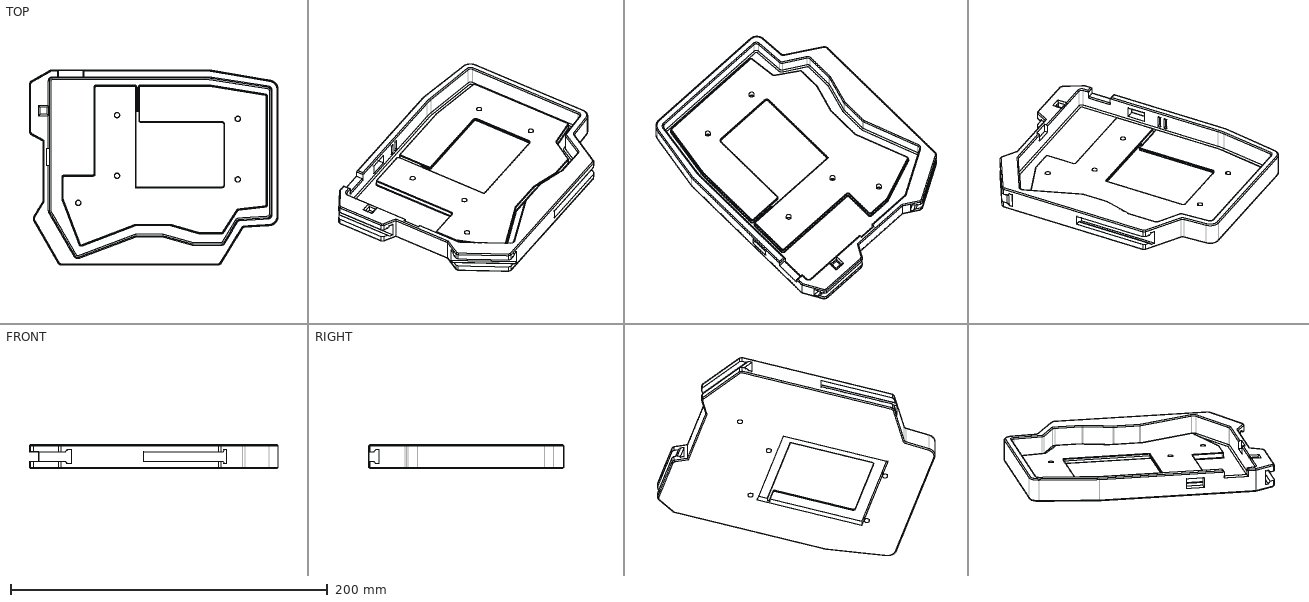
import cadquery as cq
import math

LENGTH = 157.19
WIDTH = 123.32
HEIGHT = 15.0

FLOOR_TOP = 2.0
RIM_CHAMFER = 0.75
FOOT_CHAMFER = 1.0
OUTER_CORNER_RADIUS = 6.0
WAIST_CORNER = (135.1, 24.0)
WAIST_RADIUS = 2.0
JAW_CORNER_CHAMFER = 1.0
CAVITY_CORNER_RADIUS = 2.0
CAVITY_BEND_RADIUS = 28.0
CAVITY_BACK = 118.3
CAVITY_LEFT = 12.7
CAVITY_RIGHT = 152.6
CAVITY_BEND = (113.2, CAVITY_BACK)

PLATFORM_TOP = 5.5
PLATFORM_CHAMFER = 0.6
PLATFORM_FOOT = 0.4
PLATFORM_CORNER_RADIUS = 1.0
PLATFORM_BACK = 113.4
CHANNEL_LEFT = 67.5
CHANNEL_RIGHT = 69.2
WINDOW_RIGHT = 123.0
WINDOW_FRONT = 49.3
WINDOW_BACK = 90.3
WINDOW_RADIUS = 1.5

PLATE_THICKNESS = 1.5
RECESS_MARGIN = 6.9

HOLE_DIAMETER = 3.2
PATTERN_CORNER = (55.4, 56.5)
PATTERN_LENGTH = 76.3
PATTERN_WIDTH = 38.3
RIGHT_COLUMN_DROP = 2.3
SINGLE_HOLE = (30.9, 39.4)

NECK_WIDTH = 6.0
HEAD_WIDTH = 9.0
NECK_DEPTH = 3.3
SLOT_DEPTH = 6.6
FLARE_DEPTH = NECK_DEPTH + 1.3
SLOT_OVERRUN = 10.0
FRONT_SLOT_START = (72.2, 0)

NOTCH_LEFT = 18.5
NOTCH_RIGHT = 33.9
NOTCH_FLOOR = 10.4
CABLE_WINDOW_LEFT = 46.8
CABLE_WINDOW_LENGTH = 11.5
CABLE_WINDOW_BOTTOM = 4.9
CABLE_WINDOW_TOP = 11.3
SLIT_LEFT_SIDES = (68.0, 72.4)
SLIT_LENGTH = 1.8
SLIT_DEPTH = 2.0
SLIT_BOTTOM = 4.2
SLIT_TOP = 11.4

POCKET_CENTER = (9.0, 97.6)
POCKET_SIZE = 4.4
POCKET_CHAMFER = 1.1
POCKET_DEPTH = 4.2
LATCH_LEFT = 10.7
LATCH_FRONT = 63.0
LATCH_BACK = 73.7
LATCH_FLOOR = 9.5

CLEAR = 1.0

LEFT_JAW_BACK = (0, 115.6)
LEFT_JAW_FRONT = (0, 83.1)
OBLIQUE_JAW_BACK = (2.0, 29.4)
OBLIQUE_JAW_FRONT = (18.9, 0)
FRONT_JAW_END = (120.4, 0)
JAW_CORNERS = [LEFT_JAW_BACK, LEFT_JAW_FRONT, OBLIQUE_JAW_BACK, OBLIQUE_JAW_FRONT, FRONT_JAW_END]
LEFT_STEP = 8.5

OUTLINE = [
    LEFT_JAW_BACK,
    (13.5, WIDTH),
    (114.3, WIDTH),
    (LENGTH, 116.0),
    (LENGTH, 25.3),
    WAIST_CORNER,
    FRONT_JAW_END,
    OBLIQUE_JAW_FRONT,
    OBLIQUE_JAW_BACK,
    (LEFT_STEP, 40.2),
    (LEFT_STEP, 78.5),
    LEFT_JAW_FRONT,
]
CAVITY = [
    (CAVITY_LEFT, CAVITY_BACK),
    CAVITY_BEND,
    (CAVITY_RIGHT, 112.2),
    (CAVITY_RIGHT, 30.1),
    (131.5, 28.8),
    (122.3, 13.3),
    (103.3, 13.3),
    (84.4, 18.6),
    (67.2, 18.6),
    (29.7, 4.5),
    (CAVITY_LEFT, 33.9),
]
PLATFORM = [
    (41.2, PLATFORM_BACK),
    (114.2, PLATFORM_BACK),
    (150.0, 107.6),
    (150.0, 37.2),
    (131.6, 35.1),
    (122.0, 20.2),
    (107.3, 20.2),
    (89.2, 25.4),
    (67.0, 25.4),
    (32.2, 12.1),
    (21.0, 41.6),
    (21.0, 56.6),
    (41.2, 56.6),
]


def prism(points, bottom, top):
    return cq.Workplane("XY").workplane(offset=bottom).polyline(points).close().extrude(top - bottom)


def box(x_range, y_range, z_range):
    sizes = [high - low for low, high in (x_range, y_range, z_range)]
    corner = (x_range[0], y_range[0], z_range[0])
    return cq.Workplane("XY").box(*sizes, centered=False).translate(corner)


def upright_edges(solid, corners, near=True):
    """Vertical edges standing at the given XY corners, or all the others."""

    def stands_at_corner(edge):
        center = edge.Center()
        return any(math.hypot(center.x - x, center.y - y) < CLEAR / 2 for x, y in corners)

    return solid.edges("|Z").filter(lambda edge: stands_at_corner(edge) == near)


def make_shell():
    body = prism(OUTLINE, 0, HEIGHT)
    body = body.edges("|Z and >X").fillet(OUTER_CORNER_RADIUS)
    body = upright_edges(body, [WAIST_CORNER]).fillet(WAIST_RADIUS)
    body = upright_edges(body, JAW_CORNERS).chamfer(JAW_CORNER_CHAMFER)

    cavity = prism(CAVITY, FLOOR_TOP, HEIGHT)
    cavity = upright_edges(cavity, [CAVITY_BEND], near=False).fillet(CAVITY_CORNER_RADIUS)
    cavity = upright_edges(cavity, [CAVITY_BEND]).fillet(CAVITY_BEND_RADIUS)
    cavity = cavity.faces("<Z").chamfer(FOOT_CHAMFER)
    return body.cut(cavity).faces("<Z or >Z").chamfer(RIM_CHAMFER)


def make_window(bottom, top):
    window = box((CHANNEL_LEFT, WINDOW_RIGHT), (WINDOW_FRONT, WINDOW_BACK), (bottom, top))
    return window.edges("|Z and >X").fillet(WINDOW_RADIUS)


def make_platform():
    platform = prism(PLATFORM, 0, PLATFORM_TOP)
    channel = box((CHANNEL_LEFT, CHANNEL_RIGHT), (WINDOW_BACK - CLEAR, WIDTH), (0, HEIGHT))
    platform = platform.cut(channel).cut(make_window(0, HEIGHT))
    outer_corners = PLATFORM + [
        (CHANNEL_LEFT, PLATFORM_BACK),
        (CHANNEL_RIGHT, PLATFORM_BACK),
        (CHANNEL_RIGHT, WINDOW_BACK),
    ]
    platform = upright_edges(platform, outer_corners).fillet(PLATFORM_CORNER_RADIUS)
    foot = platform.faces("<Z").wires().toPending().offset2D(PLATFORM_FOOT)
    foot = foot.extrude(FLOOR_TOP + PLATFORM_FOOT).faces(">Z").chamfer(PLATFORM_FOOT)
    return platform.faces(">Z").chamfer(PLATFORM_CHAMFER).union(foot)


def make_underside_recess():
    return box(
        (CHANNEL_LEFT - RECESS_MARGIN, WINDOW_RIGHT + RECESS_MARGIN),
        (WINDOW_FRONT - RECESS_MARGIN, WINDOW_BACK + RECESS_MARGIN),
        (-CLEAR, PLATFORM_TOP - PLATE_THICKNESS),
    )


def make_screw_holes():
    left, front = PATTERN_CORNER
    centers = [SINGLE_HOLE]
    for row in range(2):
        y = front + row * PATTERN_WIDTH
        centers.append((left, y))
        centers.append((left + PATTERN_LENGTH, y - RIGHT_COLUMN_DROP))
    return cq.Workplane("XY").pushPoints(centers).circle(HOLE_DIAMETER / 2).extrude(HEIGHT)


def make_t_slot(start, end, start_overrun, end_overrun):
    """T-slot along an outline edge; the part lies to the left of start -> end."""
    run_x = end[0] - start[0]
    run_y = end[1] - start[1]
    length = math.hypot(run_x, run_y)
    along = (run_x / length, run_y / length)
    origin = (start[0] - along[0] * start_overrun, start[1] - along[1] * start_overrun, HEIGHT / 2)
    plane = cq.Plane(origin=origin, xDir=(-along[1], along[0], 0), normal=(along[0], along[1], 0))
    upper_half = [
        (-CLEAR, NECK_WIDTH / 2),
        (NECK_DEPTH, NECK_WIDTH / 2),
        (FLARE_DEPTH, HEAD_WIDTH / 2),
        (SLOT_DEPTH, HEAD_WIDTH / 2),
    ]
    lower_half = [(depth, -side) for depth, side in reversed(upper_half)]
    profile = cq.Workplane(plane).polyline(upper_half + lower_half).close()
    return profile.extrude(length + start_overrun + end_overrun)


def cut_notch(part):
    """Lower the back wall, with bevelled top and inner edges."""
    profile = [
        (NOTCH_LEFT, NOTCH_FLOOR),
        (NOTCH_RIGHT, NOTCH_FLOOR),
        (NOTCH_RIGHT, HEIGHT - RIM_CHAMFER),
        (NOTCH_RIGHT + RIM_CHAMFER, HEIGHT),
        (NOTCH_LEFT - RIM_CHAMFER, HEIGHT),
        (NOTCH_LEFT, HEIGHT - RIM_CHAMFER),
    ]
    outside = WIDTH + CLEAR
    plane = cq.Workplane("XZ", origin=(0, outside, 0))
    notch = plane.polyline(profile).close().extrude(outside - CAVITY_BACK + CLEAR)
    inner_edge_middle = ((NOTCH_LEFT + NOTCH_RIGHT) / 2, CAVITY_BACK, NOTCH_FLOOR)
    inner_edge = cq.NearestToPointSelector(inner_edge_middle)
    return part.cut(notch).edges(inner_edge).chamfer(RIM_CHAMFER)


def make_cable_window():
    return box(
        (CABLE_WINDOW_LEFT, CABLE_WINDOW_LEFT + CABLE_WINDOW_LENGTH),
        (CAVITY_BACK - CLEAR, WIDTH + CLEAR),
        (CABLE_WINDOW_BOTTOM, CABLE_WINDOW_TOP),
    )


def make_slit(left):
    y_range = (CAVITY_BACK - CLEAR, CAVITY_BACK + SLIT_DEPTH)
    return box((left, left + SLIT_LENGTH), y_range, (SLIT_BOTTOM, SLIT_TOP))


def make_pocket():
    """Square pocket with a bevelled mouth."""
    center_x, center_y = POCKET_CENTER
    half = POCKET_SIZE / 2
    x_range = (center_x - half, center_x + half)
    y_range = (center_y - half, center_y + half)
    shaft = box(x_range, y_range, (HEIGHT - POCKET_DEPTH, HEIGHT))
    mouth_base = cq.Workplane("XY", origin=(center_x, center_y, HEIGHT - POCKET_CHAMFER))
    mouth_size = POCKET_SIZE + 2 * POCKET_CHAMFER
    mouth = mouth_base.rect(POCKET_SIZE, POCKET_SIZE)
    mouth = mouth.workplane(offset=POCKET_CHAMFER).rect(mouth_size, mouth_size).loft(ruled=True)
    return shaft.union(mouth)


def make_latch_recess():
    return box((LATCH_LEFT, CAVITY_LEFT + CLEAR), (LATCH_FRONT, LATCH_BACK), (LATCH_FLOOR, HEIGHT))


result = make_shell().union(make_platform())
result = result.cut(make_underside_recess()).cut(make_screw_holes())

result = result.cut(make_t_slot(LEFT_JAW_BACK, LEFT_JAW_FRONT, SLOT_OVERRUN, SLOT_OVERRUN))
result = result.cut(make_t_slot(OBLIQUE_JAW_BACK, OBLIQUE_JAW_FRONT, SLOT_OVERRUN, SLOT_OVERRUN))
result = result.cut(make_t_slot(FRONT_SLOT_START, FRONT_JAW_END, 0, SLOT_OVERRUN))

result = cut_notch(result)
result = result.cut(make_cable_window())
for slit_left in SLIT_LEFT_SIDES:
    result = result.cut(make_slit(slit_left))
result = result.cut(make_pocket()).cut(make_latch_recess())